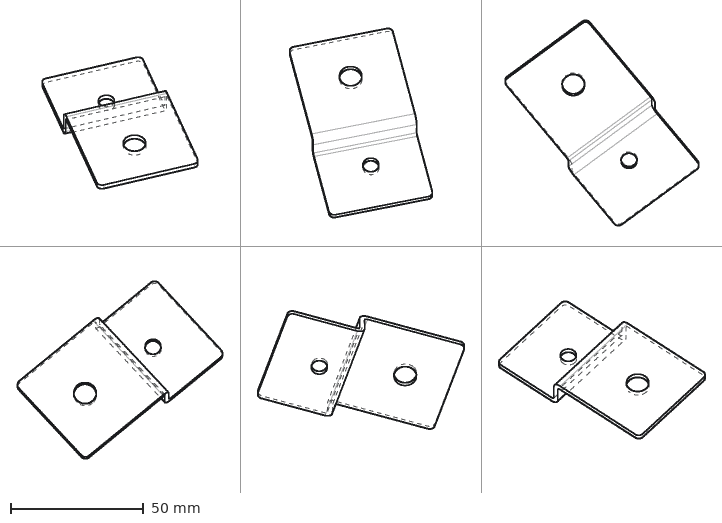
import cadquery as cq

length = 70.0
width = 40.0
height = 12.0

thickness = 2.0
inner_bend_radius = 1.0
outer_bend_radius = inner_bend_radius + thickness
web_start = 28.0
web_end = web_start + thickness
corner_radius = 2.0

small_hole_x = 18.5
small_hole_diameter = 6.0
large_hole_x = 52.5
large_hole_diameter = 8.5


def bent_sheet():
    """Z-shaped side profile extruded symmetrically across the width."""
    profile = (
        cq.Workplane("XZ")
        .moveTo(0, 0)
        .lineTo(web_end, 0)
        .lineTo(web_end, height - thickness)
        .lineTo(length, height - thickness)
        .lineTo(length, height)
        .lineTo(web_start, height)
        .lineTo(web_start, thickness)
        .lineTo(0, thickness)
        .close()
    )
    return profile.extrude(width / 2, both=True)


def bend_edge(x, z):
    """Selector for the bend line running across the width at x, z."""
    return cq.selectors.NearestToPointSelector((x, 0, z))


def round_bends(body):
    """Round both bends with concentric inner and outer radii."""
    for x, z in ((web_start, thickness), (web_end, height - thickness)):
        body = body.edges("|Y").edges(bend_edge(x, z)).fillet(inner_bend_radius)
    for x, z in ((web_end, 0), (web_start, height)):
        body = body.edges("|Y").edges(bend_edge(x, z)).fillet(outer_bend_radius)
    return body


def through_hole(x, diameter):
    """Vertical cutter on the centre line, spanning the full height."""
    return cq.Workplane("XY").center(x, 0).circle(diameter / 2).extrude(height)


result = round_bends(bent_sheet()).edges("|Z and (<X or >X)").fillet(corner_radius)
for hole_x, hole_diameter in (
    (small_hole_x, small_hole_diameter),
    (large_hole_x, large_hole_diameter),
):
    result = result.cut(through_hole(hole_x, hole_diameter))